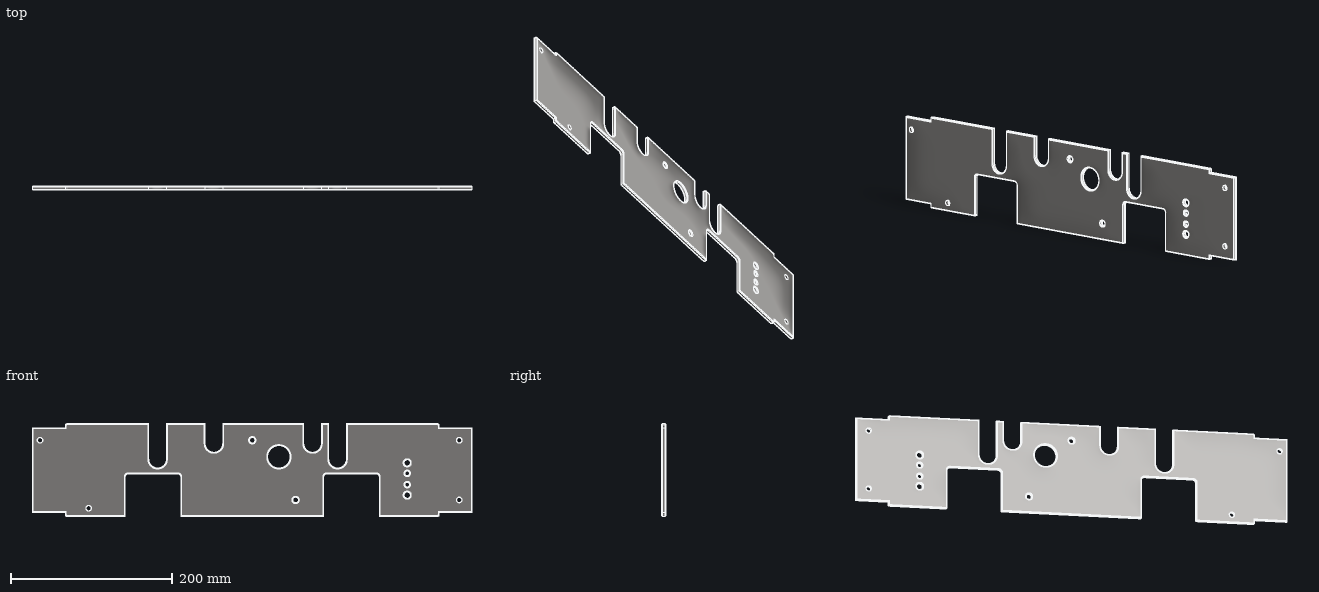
import cadquery as cq
plate_length = 545.0
plate_height = 115.0
plate_thickness = 5.0
edge_chamfer = 1.0

body_length = 463.0
tab_height = 105.0
body_corner_radius = 2.0

slot_width = 22.0
deep_slot_depth = 55.0
shallow_slot_depth = 35.5
deep_slot_x = (-117.25, 105.75)
shallow_slot_x = (-47.5, 74.75)

notch_width = 69.0
notch_depth = 53.0
notch_corner_radius = 4.0
notch_mouth_radius = 1.2
notch_x = (-123.0, 123.0)

window_diameter = 28.0
window_center = (33.0, 16.5)

fixing_diameter = 6.5
fixing_centers = [(-263.0, 37.0), (-202.75, -47.25), (256.5, 37.0), (256.5, -37.0)]

mount_diameter = 7.0
mount_centers = [(0.0, 37.0), (53.75, -37.0)]

row_x = 192.0
row_center_z = -11.0
row_outer_pitch = 40.0
row_inner_pitch = 14.0
row_outer_diameter = 8.0
row_inner_diameter = 6.0

top_z = plate_height / 2
bottom_z = -plate_height / 2


def block(length, height, x=0.0, z=0.0):
    """Plate-thick block centred at (x, z)."""
    return cq.Workplane("XY").box(length, plate_thickness, height).translate((x, 0, z))


def pin(diameter, x, z):
    """Plate-thick cylinder along Y centred at (x, z)."""
    sketch = cq.Workplane("XZ").center(x, z).circle(diameter / 2)
    return sketch.extrude(plate_thickness / 2, both=True)


def slot_cutter(x, depth):
    """Slot going down from the top edge to a full round bottom."""
    straight = depth - slot_width / 2
    shank = block(slot_width, straight, x, top_z - straight / 2)
    return shank.union(pin(slot_width, x, top_z - straight))


def notch_cutter(x):
    """Notch going up from the bottom edge, with rounded upper corners."""
    notch = block(notch_width, notch_depth, x, bottom_z + notch_depth / 2)
    upper_corners = notch.faces(">Z").edges("|Y")
    return upper_corners.fillet(notch_corner_radius)


def drill(plate, diameter, centers):
    """Cut through holes of one diameter at the given (x, z) centres."""
    for x, z in centers:
        plate = plate.cut(pin(diameter, x, z))
    return plate


def row_centers(pitch):
    """Pair of centres in the vertical row, spaced evenly about its middle."""
    return [(row_x, row_center_z + side * pitch / 2) for side in (-1, 1)]


body = block(body_length, plate_height).edges("|Y").fillet(body_corner_radius)
for x in notch_x:
    body = body.cut(notch_cutter(x))
body = body.edges("|Y").edges("<Z").fillet(notch_mouth_radius)

tab_length = (plate_length - body_length) / 2
tab_x = (body_length + tab_length) / 2
result = body
for side in (-1, 1):
    result = result.union(block(tab_length, tab_height, side * tab_x))

for x in deep_slot_x:
    result = result.cut(slot_cutter(x, deep_slot_depth))
for x in shallow_slot_x:
    result = result.cut(slot_cutter(x, shallow_slot_depth))

result = drill(result, window_diameter, [window_center])
result = drill(result, mount_diameter, mount_centers)
result = drill(result, row_outer_diameter, row_centers(row_outer_pitch))
result = drill(result, row_inner_diameter, row_centers(row_inner_pitch))

result = result.faces("<Y or >Y").edges().chamfer(edge_chamfer)

result = drill(result, fixing_diameter, fixing_centers)